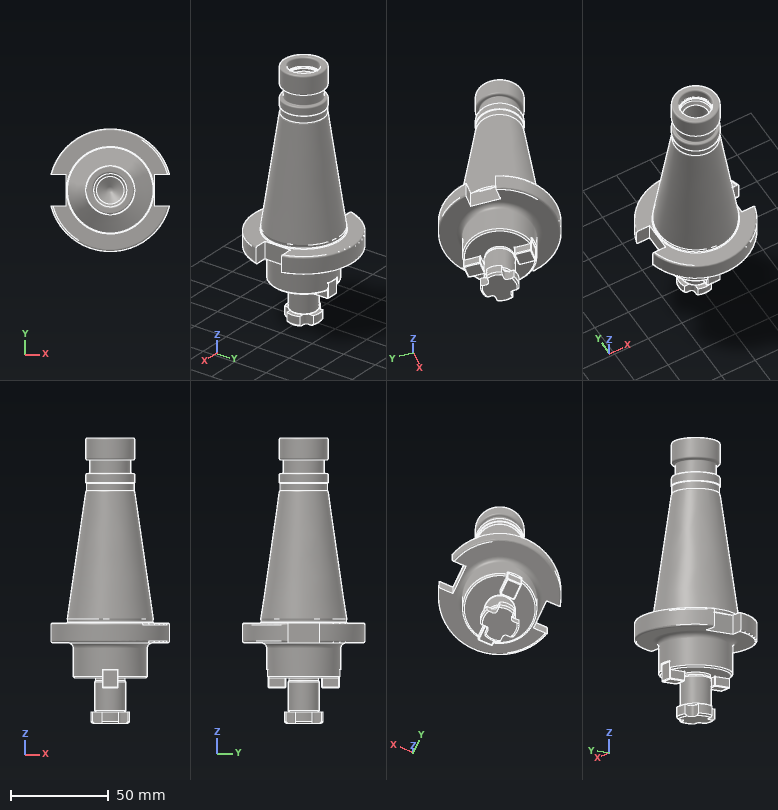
import cadquery as cq
import math

total_height = 146.4

head_radius = 10.0
head_height = 6.0
head_chamfer = 1.0
head_arm_width = 8.2
head_notch_fillet = 1.8
head_notch_count = 4

pilot_radius = 8.0
pilot_chamfer = 0.7
undercut_radius = 7.6
undercut_height = 1.2
undercut_runout = 0.9

boss_bottom = 23.3
boss_radius = 19.0
boss_chamfer = 0.9
boss_fillet = 3.0

key_width = 8.0
key_inner_reach = 9.1
key_outer_reach = 18.3
key_bottom = 18.3
key_top = 27.8
key_chamfer = 0.5

flange_bottom = 41.5
flange_top = 51.5
flange_radius = 31.5
flange_fillet = 1.0
slot_width = 16.1
slot_floor_reach = 22.7

relief_radius = 22.0
relief_taper_height = 0.9
relief_foot = 0.5

taper_radius = 22.1
taper_bottom = 53.7
taper_top = 118.5
taper_rate = 7 / 24

land_radius = 12.3
land_start = 119.3
collar_radius = 12.6
collar_bottom = 123.1
collar_top = 128.2
collar_fillet = 0.9
neck_radius = 10.5
neck_fillet = 0.5
end_bottom = 135.0
end_fillet = 1.0

bore_radius = 8.5
bore_mouth_fillet = 1.0
bore_depth = 8.0
groove_top = 141.0
groove_bottom = 140.0
groove_radius = 9.1
seat_height = 1.8
drill_radius = 7.0
drill_depth = 36.6
drill_point_angle = 118.0


def revolve_profile(outline):
    return outline.close().revolve(360, (0, 0, 0), (0, 1, 0))


def make_body():
    """Everything turned about Z, from the pilot up to the upper end."""
    taper_top_radius = taper_radius - (taper_top - taper_bottom) * taper_rate / 2
    undercut_bottom = boss_bottom - undercut_height
    outline = (
        cq.Workplane("XZ")
        .moveTo(0, head_height)
        .lineTo(pilot_radius - pilot_chamfer, head_height)
        .lineTo(pilot_radius, head_height + pilot_chamfer)
        .lineTo(pilot_radius, undercut_bottom - undercut_runout)
        .lineTo(undercut_radius, undercut_bottom)
        .lineTo(undercut_radius, boss_bottom)
        .lineTo(boss_radius - boss_chamfer, boss_bottom)
        .lineTo(boss_radius, boss_bottom + boss_chamfer)
        .lineTo(boss_radius, flange_bottom - boss_fillet)
        .radiusArc((boss_radius + boss_fillet, flange_bottom), boss_fillet)
        .lineTo(flange_radius - flange_fillet, flange_bottom)
        .radiusArc((flange_radius, flange_bottom + flange_fillet), -flange_fillet)
        .lineTo(flange_radius, flange_top - flange_fillet)
        .radiusArc((flange_radius - flange_fillet, flange_top), -flange_fillet)
        .lineTo(relief_radius + relief_foot, flange_top)
        .lineTo(relief_radius, flange_top + relief_foot)
        .lineTo(relief_radius, taper_bottom - relief_taper_height)
        .lineTo(taper_radius, taper_bottom)
        .lineTo(taper_top_radius, taper_top)
        .lineTo(land_radius, land_start)
        .lineTo(land_radius, collar_bottom)
        .lineTo(collar_radius, collar_bottom + collar_radius - land_radius)
        .lineTo(collar_radius, collar_top - collar_fillet)
        .radiusArc((collar_radius - collar_fillet, collar_top), -collar_fillet)
        .lineTo(neck_radius + neck_fillet, collar_top)
        .radiusArc((neck_radius, collar_top + neck_fillet), neck_fillet)
        .lineTo(neck_radius, end_bottom - neck_fillet)
        .radiusArc((neck_radius + neck_fillet, end_bottom), neck_fillet)
        .lineTo(collar_radius - end_fillet, end_bottom)
        .radiusArc((collar_radius, end_bottom + end_fillet), -end_fillet)
        .lineTo(collar_radius, total_height - end_fillet)
        .radiusArc((collar_radius - end_fillet, total_height), -end_fillet)
        .lineTo(0, total_height)
    )
    return revolve_profile(outline)


def make_bore():
    """Stepped blind bore with a conical seat and a conical drill point."""
    bore_floor = total_height - bore_depth
    seat_bottom = bore_floor - seat_height
    drill_bottom = total_height - drill_depth
    point_height = drill_radius / math.tan(math.radians(drill_point_angle / 2))
    outline = (
        cq.Workplane("XZ")
        .moveTo(0, total_height)
        .lineTo(bore_radius + bore_mouth_fillet, total_height)
        .radiusArc((bore_radius, total_height - bore_mouth_fillet), -bore_mouth_fillet)
        .lineTo(bore_radius, groove_top)
        .lineTo(groove_radius, groove_top)
        .lineTo(groove_radius, groove_bottom)
        .lineTo(bore_radius, groove_bottom)
        .lineTo(bore_radius, bore_floor)
        .lineTo(drill_radius, seat_bottom)
        .lineTo(drill_radius, drill_bottom)
        .lineTo(0, drill_bottom - point_height)
    )
    return revolve_profile(outline)


def make_drive_slots():
    """Two rectangular slots across the flange, on the +X and -X sides."""
    slot_depth = flange_radius - slot_floor_reach
    slot_height = flange_top - flange_bottom
    slot_middle = (slot_floor_reach + flange_radius) / 2
    return (
        cq.Workplane("XY", origin=(0, 0, flange_bottom))
        .pushPoints([(-slot_middle, 0), (slot_middle, 0)])
        .rect(slot_depth, slot_width)
        .extrude(slot_height)
    )


def make_key_block(side, outer_reach):
    """Box at the place of a driving key; side is +1 or -1 along Y."""
    return (
        cq.Workplane("XY", origin=(0, 0, key_bottom))
        .center(0, side * (key_inner_reach + outer_reach) / 2)
        .rect(key_width, outer_reach - key_inner_reach)
        .extrude(key_top - key_bottom)
    )


def make_screw_head():
    """Round screw head notched into a cross with arms along X and Y."""
    head = cq.Workplane("XY").circle(head_radius).extrude(head_height)
    head = head.faces("<Z").edges().chamfer(head_chamfer)
    notch = (
        cq.Workplane("XY")
        .rect(head_radius, head_radius, centered=False)
        .extrude(head_height)
        .edges("|Z and <X and <Y")
        .fillet(head_notch_fillet)
        .translate((head_arm_width / 2, head_arm_width / 2, 0))
    )
    pitch = 360 / head_notch_count
    for index in range(head_notch_count):
        head = head.cut(notch.rotate((0, 0, 0), (0, 0, 1), index * pitch))
    return head


result = make_body().cut(make_bore()).cut(make_drive_slots())
for side in (-1, 1):
    result = result.cut(make_key_block(side, boss_radius))
    result = result.union(make_key_block(side, key_outer_reach).edges().chamfer(key_chamfer))
result = result.union(make_screw_head())